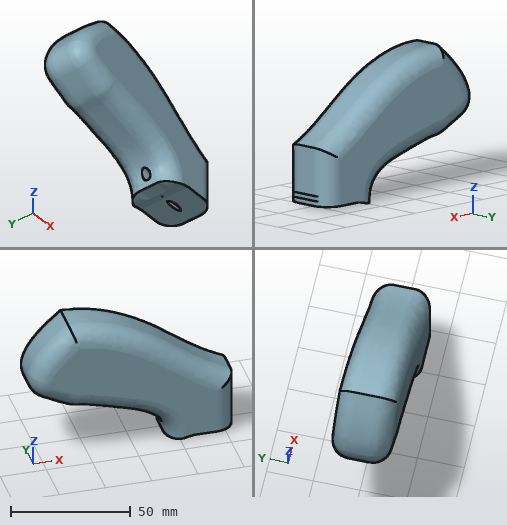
import cadquery as cq
import math

length = 88.1
width = 25.0
height = 60.1
edge_radius = 8.0
flat_band = width - 2 * edge_radius

base_z = 1.3
crest_x = 17.5
back_top_z = 26.2
grip_x = 58.7
nose_radius = 9.7
nose_z = 36.4
nose_start = 242
nose_end = 165
grip_z = 1.15
crest_direction = (0.74, 0.67)
spare_depth = 13.2

lip_step_z = 0.4
lip_low_x = 63.0
lip_shoulder_x = 67.0
lip_shoulder_z = 0.8
lip_end_x = 70.05
channel_edge = 8.4
channel_open_z = -0.3
clearance = 0.9
trim_z = spare_depth + clearance

bore_diameter = 4.0
screw_diameter = 2.2
screw_slope = 15.0
seat_x = 68.7
seat_z = 3.35
bore_length = 17.6
screw_length = 15.9

groove_height = 2.1
groove_depth = 0.3
groove_z = 4.6


def nose_point(angle):
    """Point on the nose arc, which touches x = 0 at 180 degrees."""
    turn = math.radians(angle)
    return (nose_radius * (1 + math.cos(turn)), nose_z + nose_radius * math.sin(turn))


def nose_direction(angle):
    """Clockwise tangent of the nose arc."""
    turn = math.radians(angle)
    return (math.sin(turn), -math.cos(turn))


def body():
    """Side outline extruded across the width, with large rounds on both rims."""
    crest = (crest_x, height)
    back_curve = [(35.1, 57.45), (54.1, 48.55), (73.2, 34.9), (length, back_top_z)]
    grip_curve = [(53.4, 10.8), (38.25, 16.8), (22.0, 21.1), nose_point(nose_start)]
    front_curve = [(6.35, 49.4), (12.3, 55.6), crest]
    block = (
        cq.Workplane("XZ", origin=(0, width / 2, 0))
        .moveTo(*crest)
        .spline(back_curve, includeCurrent=True)
        .lineTo(length, -spare_depth)
        .lineTo(grip_x, -spare_depth)
        .lineTo(grip_x, grip_z)
        .spline(grip_curve, tangents=[(0, 1), nose_direction(nose_start)], includeCurrent=True)
        .threePointArc(nose_point(180), nose_point(nose_end))
        .spline(front_curve, tangents=[nose_direction(nose_end), crest_direction], includeCurrent=True)
        .close()
        .extrude(width)
    )
    return block.faces("<Y or >Y").edges("not |X").fillet(edge_radius)


def underside():
    """Stock to trim away below the base and the lip, with a shallow channel across the lip."""
    cutter = (
        cq.Workplane("XZ", origin=(0, width, 0))
        .moveTo(grip_x - clearance, lip_step_z)
        .lineTo(grip_x, lip_step_z)
        .threePointArc((lip_low_x, 0), (lip_shoulder_x, lip_shoulder_z))
        .lineTo(lip_end_x, base_z)
        .lineTo(length + clearance, base_z)
        .lineTo(length + clearance, -trim_z)
        .lineTo(grip_x - clearance, -trim_z)
        .close()
        .extrude(2 * width)
    )
    channel = (
        cq.Workplane("YZ", origin=(grip_x - clearance, 0, 0))
        .moveTo(-channel_edge, channel_open_z)
        .lineTo(-flat_band / 2, lip_step_z)
        .lineTo(flat_band / 2, lip_step_z)
        .lineTo(channel_edge, channel_open_z)
        .close()
        .extrude(length)
    )
    return cutter.union(channel)


def screw_hole():
    """Counterbored hole running inward and down from the grip wall to the base."""
    slope = math.radians(screw_slope)
    axis = cq.Vector(math.cos(slope), 0, -math.sin(slope))
    seat = cq.Vector(seat_x, 0, seat_z)
    bore = cq.Solid.makeCylinder(bore_diameter / 2, bore_length, seat, axis * -1)
    screw = cq.Solid.makeCylinder(screw_diameter / 2, screw_length, seat, axis)
    return cq.Workplane(bore).union(cq.Workplane(screw))


def back_groove():
    """Shallow groove across the flat back face."""
    return cq.Workplane("XY").box(2 * groove_depth, width, groove_height).translate((length, 0, groove_z))


result = body().cut(underside()).cut(screw_hole()).cut(back_groove())